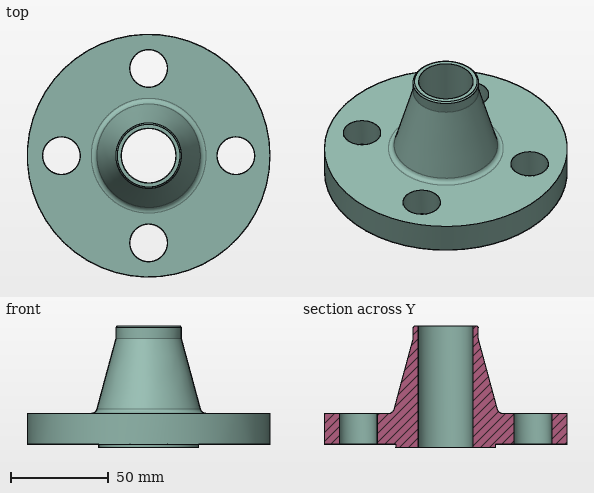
import cadquery as cq
import math

total_height = 62.1

flange_diameter = 123.9
flange_thickness = 15.9

raised_face_diameter = 51.0
raised_face_height = 1.6

hub_base_diameter = 54.0
hub_fillet_radius = 3.0
neck_diameter = 33.5
neck_length = 6.6
neck_chamfer = 0.7
bore_diameter = 27.8

bolt_count = 4
bolt_circle_diameter = 89.0
bolt_hole_diameter = 19.1

flange_top = raised_face_height + flange_thickness
taper_top = total_height - neck_length

hub_base_radius = hub_base_diameter / 2
neck_radius = neck_diameter / 2


def make_body():
    """Revolve the outer outline, with a fillet tangent to the hub taper and the plate."""
    taper_angle = math.atan2(hub_base_radius - neck_radius, taper_top - flange_top)

    corner_angle = math.pi / 2 + taper_angle
    tangent_length = hub_fillet_radius / math.tan(corner_angle / 2)

    fillet_outer_radius = hub_base_radius + tangent_length
    fillet_start = (fillet_outer_radius, flange_top)
    fillet_end = (
        hub_base_radius - tangent_length * math.sin(taper_angle),
        flange_top + tangent_length * math.cos(taper_angle),
    )

    middle_angle = (math.pi / 2 - taper_angle) / 2
    fillet_middle = (
        fillet_outer_radius - hub_fillet_radius * math.sin(middle_angle),
        flange_top + hub_fillet_radius * (1 - math.cos(middle_angle)),
    )

    outline = (
        cq.Workplane("XZ")
        .moveTo(0, 0)
        .lineTo(raised_face_diameter / 2, 0)
        .lineTo(raised_face_diameter / 2, raised_face_height)
        .lineTo(flange_diameter / 2, raised_face_height)
        .lineTo(flange_diameter / 2, flange_top)
        .lineTo(*fillet_start)
        .threePointArc(fillet_middle, fillet_end)
        .lineTo(neck_radius, taper_top)
        .lineTo(neck_radius, total_height - neck_chamfer)
        .lineTo(neck_radius - neck_chamfer, total_height)
        .lineTo(0, total_height)
        .close()
    )
    return outline.revolve(360, (0, 0, 0), (0, 1, 0))


def make_bore():
    return cq.Workplane("XY").circle(bore_diameter / 2).extrude(total_height)


def make_bolt_holes():
    return (
        cq.Workplane("XY")
        .polarArray(bolt_circle_diameter / 2, 0, 360, bolt_count)
        .circle(bolt_hole_diameter / 2)
        .extrude(flange_top)
    )


result = make_body().cut(make_bore()).cut(make_bolt_holes())